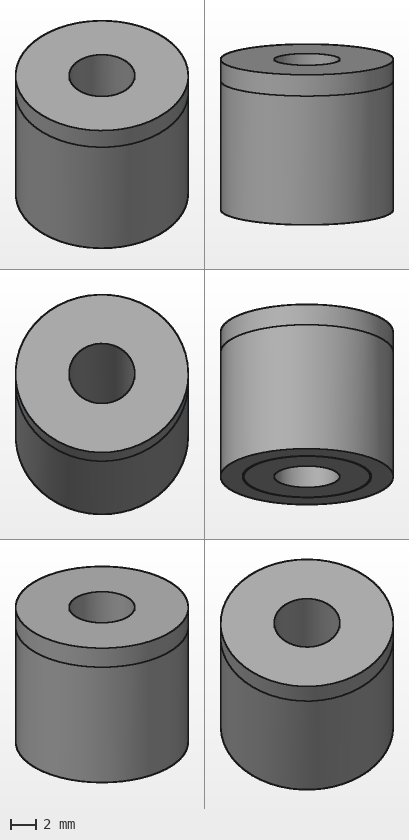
import cadquery as cq

outer_diameter = 13.7
bore_diameter = 5.2
total_height = 12.1
flange_thickness = 1.71
barrel_diameter = 10.0
sleeve_inner_diameter = 10.2

sleeve_height = total_height - flange_thickness


def ring(outside, inside, base_height, height):
    """Round ring on the Z axis, standing on base_height."""
    return (
        cq.Workplane("XY", origin=(0, 0, base_height))
        .circle(outside / 2)
        .circle(inside / 2)
        .extrude(height)
    )


def make_sleeve():
    """Outer tube that carries the bushing flange on its top face."""
    return ring(outer_diameter, sleeve_inner_diameter, 0, sleeve_height)


def make_bushing():
    """Flanged bushing whose barrel runs down through the sleeve."""
    barrel = ring(barrel_diameter, bore_diameter, 0, total_height)
    flange = ring(outer_diameter, bore_diameter, sleeve_height, flange_thickness)
    return barrel.union(flange)


sleeve = make_sleeve()
bushing = make_bushing()

result = cq.Compound.makeCompound([sleeve.val(), bushing.val()])